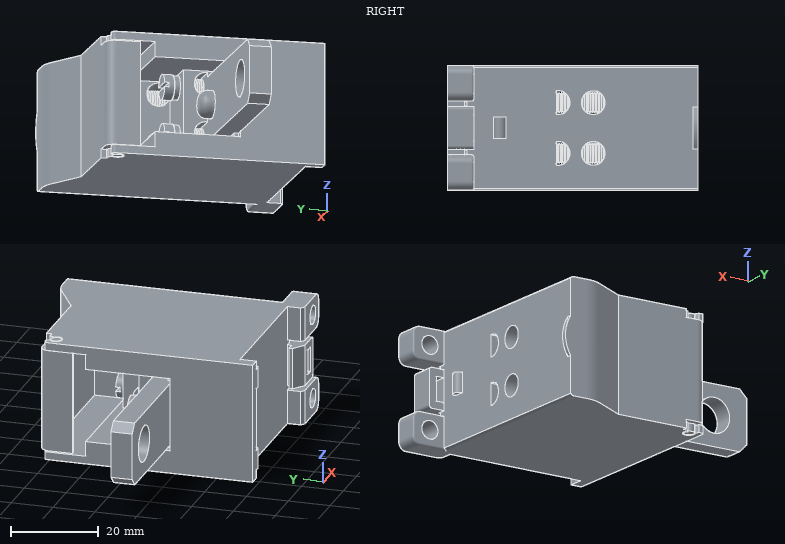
import cadquery as cq
import math

total_length = 79.2
total_depth = 57.2
total_height = 28.5
half_height = total_height / 2

front_x = 28.75
back_x = 70.7
base_y = 3.9
shoulder_y = 51.2
slope_start_x = 53.45
slope_angle = 30.0
slope_blend = 7.9
back_edge_radius = 1.2
back_trim = 0.2

top_wall = 1.3
cavity_back_x = 67.3
ledge_y = 39.9
wide_half = 12.35
narrow_half = 8.8
cavity_floor_y = 20.8
window_bottom_y = 19.8
window_depth = 2.0

bar_back_y = 24.9
bar_front_y = 19.8
bar_half = 7.5
bar_chamfer = 2.0
bar_end_x = 40.4
bar_hole_x = 9.0
bar_hole_diameter = 8.55

low_step_x = 39.6
low_step_y = 30.6
high_step_x = 52.3
high_step_y = 38.3
terminal_z = 5.8
wire_hole_diameter = 5.4
low_wire_y = 25.3
high_wire_y = 33.3
low_screw_x = 45.15
low_screw_top = 34.3
high_screw_x = 58.6
high_screw_top = 41.2

screw_head_radius = 2.97
screw_head_height = 2.4
screw_collar_radius = 2.8
screw_slot_width = 1.0
screw_slot_depth = 1.0
thread_radius = 2.3
thread_root_radius = 2.0
thread_pitch = 0.55

dome_x = 35.65
dome_radius = 3.25
dome_height = 3.2
dome_edge_radius = 1.9

lid_half = 12.2
lid_bottom_y = 43.25
lid_outer_x = 29.15
lid_inner_x = 30.0
lid_corner_radius = 2.3
hinge_x = 31.75
hinge_y = 47.9
hinge_radius = 1.385
hinge_recess = 0.15
notch_y = 49.9
nose_start_y = 46.2
nose_y = 47.8
nose_setback = 0.1
nose_radius = 0.8
notch_dip_y = 48.95
notch_dip_half = 0.95
notch_top_half = 1.5
notch_end_x = 34.6

leg_width = 2.85
hook_end_x = 33.7
hook_height = 2.9
hook_inner_z = 7.5
hook_outer_z = 12.3
hook_radius = 1.0

foot_front_x = 67.6
foot_top_y = 6.0
foot_inner_z = 6.1
foot_corner_radius = 2.0
foot_edge_radius = 0.5
foot_hole_x = 74.7
foot_hole_z = 10.1
foot_hole_diameter = 4.4
ramp_bottom_x = 68.6
latch_tip_x = 65.7
latch_tip_bottom = 2.05
latch_end_x = 74.85
latch_half = 4.9
latch_corner_radius = 0.8
latch_slot_start_x = 70.8
latch_slot_end_x = 72.9
latch_slot_half = 2.97

back_relief = 1.4
knob_y = 11.95
knob_half = 2.45
ridge_thickness = 1.2
ridge_half = 4.75
groove_length = 1.5


def box(x0, x1, y0, y1, z0, z1):
    return cq.Workplane("XY").box(x1 - x0, y1 - y0, z1 - z0, centered=False).translate((x0, y0, z0))


def centred_box(x0, x1, y0, y1, half):
    return box(x0, x1, y0, y1, -half, half)


def cylinder_z(x, y, radius, half):
    return cq.Workplane("XY", origin=(x, y, -half)).circle(radius).extrude(2 * half)


def extrude_outline(points, z0, z1):
    return cq.Workplane("XY", origin=(0, 0, z0)).polyline(points).close().extrude(z1 - z0)


def make_housing():
    """Solid body whose rounded back edges are trimmed flat by the back face."""
    untrimmed_x = back_x + back_trim
    slope_end_x = slope_start_x + (total_depth - shoulder_y) / math.tan(math.radians(slope_angle))
    outline = [
        (front_x, base_y),
        (untrimmed_x, base_y),
        (untrimmed_x, total_depth),
        (slope_end_x, total_depth),
        (slope_start_x, shoulder_y),
        (front_x, shoulder_y),
    ]
    housing = extrude_outline(outline, -half_height, half_height)
    crest = cq.selectors.NearestToPointSelector((slope_end_x, total_depth, 0))
    housing = housing.edges(crest).fillet(slope_blend)
    housing = housing.faces(">X").edges("|Y").fillet(back_edge_radius)
    housing = housing.cut(centred_box(back_x, untrimmed_x, base_y, total_depth, half_height))
    leg = centred_box(front_x, front_x + leg_width, 0, base_y, half_height)
    return housing.union(leg)


def make_cavity():
    wide = centred_box(front_x, cavity_back_x, ledge_y, shoulder_y - top_wall, wide_half)
    narrow = centred_box(front_x, cavity_back_x, cavity_floor_y, ledge_y, narrow_half)
    sill = centred_box(front_x, front_x + window_depth, window_bottom_y, cavity_floor_y, narrow_half)
    lid_opening = centred_box(front_x, lid_outer_x + lid_corner_radius, ledge_y, shoulder_y, wide_half)
    return wide.union(narrow).union(sill).union(lid_opening)


def make_lid_notch(side):
    """Open corner of one side wall: a rounded nose, then a dip onto the hinge pin."""
    z0, z1 = sorted((side * lid_half, side * half_height))
    nose_x = front_x + nose_setback
    bulge = nose_radius * (1 - math.sqrt(0.5))
    return (
        cq.Workplane("XY", origin=(0, 0, z0))
        .moveTo(front_x, nose_start_y)
        .lineTo(nose_x, nose_y)
        .lineTo(nose_x, notch_y - nose_radius)
        .threePointArc((nose_x + bulge, notch_y - bulge), (nose_x + nose_radius, notch_y))
        .lineTo(hinge_x - notch_top_half, notch_y)
        .lineTo(hinge_x - notch_dip_half, notch_dip_y)
        .lineTo(hinge_x + notch_dip_half, notch_dip_y)
        .lineTo(hinge_x + notch_top_half, notch_y)
        .lineTo(notch_end_x, notch_y)
        .lineTo(notch_end_x, shoulder_y)
        .lineTo(front_x, shoulder_y)
        .close()
        .extrude(z1 - z0)
    )


def make_hinge_recesses():
    """Shallow round recesses that leave the hinge pin ends just below the side walls."""
    pin_half = half_height - hinge_recess
    through = cylinder_z(hinge_x, hinge_y, hinge_radius, half_height)
    return through.cut(cylinder_z(hinge_x, hinge_y, hinge_radius, pin_half))


def make_lid():
    corner_x = lid_outer_x + lid_corner_radius
    corner_y = shoulder_y - lid_corner_radius
    bulge = lid_corner_radius * (1 - math.sqrt(0.5))
    flap = centred_box(lid_outer_x, lid_inner_x, lid_bottom_y, corner_y, lid_half)
    knuckle = (
        cq.Workplane("XY", origin=(0, 0, -lid_half))
        .moveTo(lid_outer_x, corner_y)
        .threePointArc((lid_outer_x + bulge, shoulder_y - bulge), (corner_x, shoulder_y))
        .lineTo(notch_end_x, shoulder_y)
        .lineTo(notch_end_x, corner_y)
        .close()
        .extrude(2 * lid_half)
    )
    return flap.union(knuckle)


def make_busbar():
    bar = centred_box(0, bar_end_x, bar_front_y, bar_back_y, bar_half)
    bar = bar.faces("<X").edges("|Y").chamfer(bar_chamfer)
    hole = (
        cq.Workplane("XZ", origin=(bar_hole_x, bar_back_y, 0))
        .circle(bar_hole_diameter / 2)
        .extrude(bar_back_y - bar_front_y)
    )
    return bar.cut(hole)


def make_terminal_block():
    low = centred_box(low_step_x, cavity_back_x, cavity_floor_y, low_step_y, narrow_half)
    high = centred_box(high_step_x, cavity_back_x, low_step_y, high_step_y, narrow_half)
    return low.union(high)


def wire_hole(start_x, y, z):
    """Round wire passage to the back wall, kept above the plane of the busbar."""
    hole = (
        cq.Workplane("YZ", origin=(start_x, y, z))
        .circle(wire_hole_diameter / 2)
        .extrude(back_x - start_x)
    )
    return hole.intersect(centred_box(start_x, back_x, bar_back_y, total_depth, half_height))


def make_terminal_screw(x, z, seat_y, top_y, wire_y):
    """Slotted screw along Y whose ridged shank crosses the wire hole."""
    tip_y = wire_y - wire_hole_diameter / 2
    profile = [(0, tip_y)]
    tooth_count = math.ceil((seat_y - tip_y) / thread_pitch)
    tooth_height = (seat_y - tip_y) / tooth_count
    for tooth in range(tooth_count):
        tooth_y = tip_y + tooth * tooth_height
        profile.append((thread_root_radius, tooth_y))
        profile.append((thread_radius, tooth_y + tooth_height / 2))
    head_y = top_y - screw_head_height
    profile += [
        (thread_root_radius, seat_y),
        (screw_collar_radius, seat_y),
        (screw_collar_radius, head_y),
        (screw_head_radius, head_y),
        (screw_head_radius, top_y),
        (0, top_y),
    ]
    screw = cq.Workplane("XY").polyline(profile).close().revolve(360, (0, 0, 0), (0, 1, 0))
    slot = centred_box(
        -screw_head_radius, screw_head_radius, top_y - screw_slot_depth, top_y, screw_slot_width / 2
    )
    return screw.cut(slot).translate((x, 0, z))


def make_domed_screw():
    """Round-headed screw standing on the back of the busbar."""
    head = (
        cq.Workplane("XZ", origin=(dome_x, bar_back_y, 0))
        .circle(dome_radius)
        .extrude(-dome_height)
    )
    return head.faces(">Y").edges().fillet(dome_edge_radius)


def make_hook(side):
    z0, z1 = sorted((side * hook_inner_z, side * hook_outer_z))
    hook = box(front_x + leg_width, hook_end_x, 0, hook_height, z0, z1)
    return hook.faces(">X").edges("|Z").fillet(hook_radius)


def make_foot(side):
    """Mounting foot built on the +Z side and mirrored for the other side."""
    ramp_height = (ramp_bottom_x - foot_front_x) * latch_tip_bottom / (ramp_bottom_x - latch_tip_x)
    outline = [
        (ramp_bottom_x, 0),
        (total_length, 0),
        (total_length, foot_top_y),
        (foot_front_x, foot_top_y),
        (foot_front_x, ramp_height),
    ]
    foot = extrude_outline(outline, foot_inner_z, half_height)
    foot = foot.faces(">X").edges("|Y").fillet(foot_corner_radius)
    foot = foot.faces(">Y").edges("not <X").fillet(foot_edge_radius)
    hole = (
        cq.Workplane("XZ", origin=(foot_hole_x, foot_top_y, foot_hole_z))
        .circle(foot_hole_diameter / 2)
        .extrude(foot_top_y)
    )
    foot = foot.cut(hole)
    return foot if side > 0 else foot.mirror("XY")


def make_latch():
    outline = [
        (ramp_bottom_x, 0),
        (latch_end_x, 0),
        (latch_end_x, foot_top_y),
        (foot_front_x, foot_top_y),
        (foot_front_x, hook_height),
        (latch_tip_x, hook_height),
        (latch_tip_x, latch_tip_bottom),
    ]
    latch = extrude_outline(outline, -latch_half, latch_half)
    latch = latch.faces(">X").edges("|Y").fillet(latch_corner_radius)
    slot = centred_box(latch_slot_start_x, latch_slot_end_x, 0, foot_top_y, latch_slot_half)
    return latch.cut(slot)


def make_back_details():
    knob = (
        cq.Workplane("XY", origin=(0, knob_y, -knob_half))
        .moveTo(back_x, -back_relief)
        .threePointArc((back_x + back_relief, 0), (back_x, back_relief))
        .close()
        .extrude(2 * knob_half)
    )
    ridge = (
        cq.Workplane("XZ", origin=(0, total_depth, 0))
        .moveTo(back_x, -ridge_half)
        .threePointArc((back_x + back_relief, 0), (back_x, ridge_half))
        .close()
        .extrude(ridge_thickness)
    )
    return knob.union(ridge)


def make_groove(side):
    """Half-round groove under the back wall, between the latch and one foot."""
    radius = (foot_inner_z - latch_half) / 2
    z = side * (foot_inner_z + latch_half) / 2
    start = (back_x - groove_length, base_y, z)
    return cq.Workplane("YZ", origin=start).circle(radius).extrude(groove_length)


result = make_housing().cut(make_cavity())
for side in (-1, 1):
    result = result.cut(make_lid_notch(side)).cut(make_groove(side))
result = result.union(make_lid())
result = result.union(cylinder_z(hinge_x, hinge_y, hinge_radius, half_height))
result = result.cut(make_hinge_recesses())
result = result.union(make_busbar()).union(make_terminal_block())

for side in (-1, 1):
    z = side * terminal_z
    result = result.cut(wire_hole(low_step_x, low_wire_y, z))
    result = result.cut(wire_hole(high_step_x, high_wire_y, z))
    result = result.union(make_terminal_screw(low_screw_x, z, low_step_y, low_screw_top, low_wire_y))
    result = result.union(make_terminal_screw(high_screw_x, z, high_step_y, high_screw_top, high_wire_y))
    result = result.union(make_hook(side))
    result = result.union(make_foot(side))

result = result.union(make_domed_screw()).union(make_latch()).union(make_back_details())